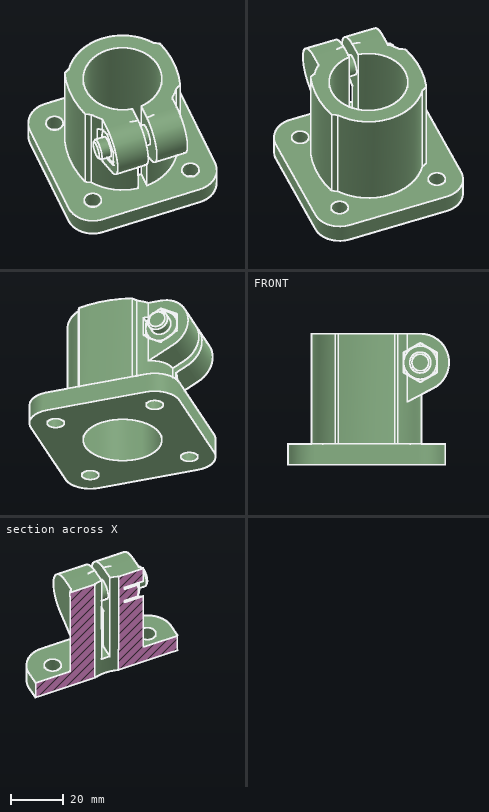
import cadquery as cq
import math

plate_side = 60.0
plate_thickness = 8.0
plate_corner_radius = 10.0
mount_hole_diameter = 6.5
mount_hole_spacing = 39.95

total_height = 50.0
tube_radius = 21.0
bore_diameter = 30.0
pad_half_width = 10.7
pad_corner_y = 19.5
pad_foot_x = 11.85

overall_length = 61.5
reach_x = overall_length - plate_side / 2
ear_radius = 11.0
ear_outer_y = 14.25
ear_bottom_angle = 27.5
slit_width = 3.55
bolt_x = reach_x - ear_radius
bolt_z = total_height - ear_radius

bolt_diameter = 8.0
bolt_end_y = 18.75
bolt_chamfer = 0.8
pocket_across_flats = 13.05
pocket_depth = 6.65
pocket_floor_y = pocket_depth - ear_outer_y
nut_across_flats = 12.7
nut_recess = 0.1
nut_shoulder_diameter = 12.6
nut_corner_diameter = 14.15
nut_edge_radius = 0.6
nut_chamfer_angle = 30.0


def make_flange():
    plate = cq.Workplane("XY").rect(plate_side, plate_side).extrude(plate_thickness)
    plate = plate.edges("|Z").fillet(plate_corner_radius)
    return (
        plate.faces(">Z").workplane()
        .rect(mount_hole_spacing, mount_hole_spacing, forConstruction=True)
        .vertices().hole(mount_hole_diameter)
    )


def make_tube():
    foot_y = math.sqrt(tube_radius**2 - pad_foot_x**2)
    outline = (
        cq.Workplane("XY")
        .moveTo(pad_foot_x, foot_y)
        .lineTo(pad_half_width, pad_corner_y)
        .threePointArc((0, tube_radius), (-pad_half_width, pad_corner_y))
        .lineTo(-pad_foot_x, foot_y)
        .threePointArc((-tube_radius, 0), (-pad_foot_x, -foot_y))
        .lineTo(-pad_half_width, -pad_corner_y)
        .threePointArc((0, -tube_radius), (pad_half_width, -pad_corner_y))
        .lineTo(pad_foot_x, -foot_y)
        .threePointArc((tube_radius, 0), (pad_foot_x, foot_y))
        .close()
    )
    return outline.extrude(total_height)


def make_ears():
    slope = math.radians(ear_bottom_angle)
    tangent_x = bolt_x + ear_radius * math.sin(slope)
    tangent_z = bolt_z - ear_radius * math.cos(slope)
    root_x = math.sqrt(tube_radius**2 - ear_outer_y**2)
    root_z = tangent_z - (tangent_x - root_x) * math.tan(slope)
    return (
        cq.Workplane("XZ")
        .moveTo(root_x, total_height)
        .lineTo(bolt_x, total_height)
        .threePointArc((reach_x, bolt_z), (tangent_x, tangent_z))
        .lineTo(root_x, root_z)
        .close()
        .extrude(ear_outer_y, both=True)
    )


def bolt_plane(y):
    """Plane centred on the bolt axis, with its normal toward -Y."""
    return cq.Workplane("XZ", origin=(bolt_x, y, bolt_z))


def hex_prism(across_flats, inner_y, outer_y):
    """Hexagonal bar on the bolt axis with two corners pointing straight up and down."""
    half_sector = 180 / 6
    across_corners = across_flats / math.cos(math.radians(half_sector))
    prism = bolt_plane(inner_y).polygon(6, across_corners).extrude(inner_y - outer_y)
    return prism.rotate((bolt_x, 0, bolt_z), (bolt_x, 1, bolt_z), half_sector)


def make_bolt():
    shank = bolt_plane(ear_outer_y).circle(bolt_diameter / 2).extrude(ear_outer_y + bolt_end_y)
    return shank.faces("<Y").chamfer(bolt_chamfer)


def make_nut():
    face_y = nut_recess - ear_outer_y
    shoulder_radius = nut_shoulder_diameter / 2
    corner_radius = nut_corner_diameter / 2
    shoulder_y = face_y + nut_edge_radius
    bevel_drop = (corner_radius - shoulder_radius) * math.tan(math.radians(nut_chamfer_angle))
    turned = (
        cq.Workplane("XY", origin=(bolt_x, 0, bolt_z))
        .moveTo(0, face_y)
        .lineTo(shoulder_radius - nut_edge_radius, face_y)
        .radiusArc((shoulder_radius, shoulder_y), -nut_edge_radius)
        .lineTo(corner_radius, shoulder_y + bevel_drop)
        .lineTo(corner_radius, pocket_floor_y)
        .lineTo(0, pocket_floor_y)
        .close()
        .revolve(360, (0, 0), (0, 1))
    )
    return hex_prism(nut_across_flats, pocket_floor_y, face_y).intersect(turned)


bore = cq.Workplane("XY").circle(bore_diameter / 2).extrude(total_height)
slit = (
    cq.Workplane("XY", origin=(0, 0, plate_thickness))
    .rect(reach_x, slit_width).extrude(total_height - plate_thickness)
    .translate((reach_x / 2, 0, 0))
)
nut_pocket = hex_prism(pocket_across_flats, pocket_floor_y, -tube_radius)

body = make_flange().union(make_tube()).union(make_ears())
body = body.cut(bore).cut(slit).cut(nut_pocket)
result = body.union(make_nut()).union(make_bolt())